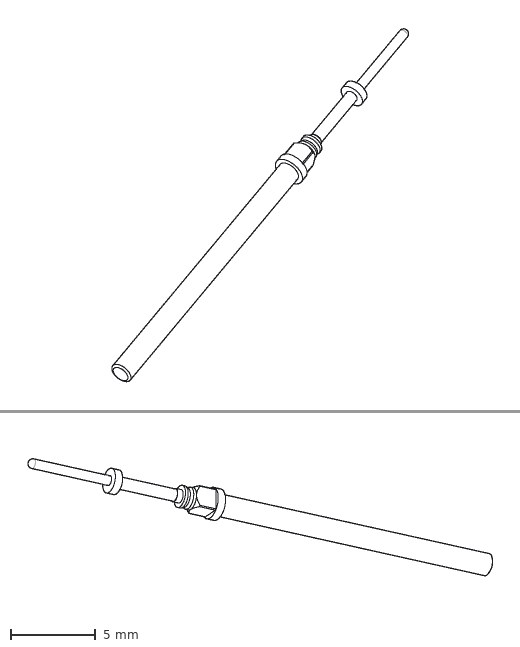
import cadquery as cq

LENGTH = 31.4
TIP_Y = LENGTH / 2
TAIL_Y = -LENGTH / 2

BARREL_R = 1.35 / 2
TAIL_FACE_R = 1.05 / 2
TAIL_CHAMFER_LENGTH = 0.1
BARREL_LENGTH = 18.5
FLANGE_R = 1.9 / 2
FLANGE_LENGTH = 0.5

HEAD_LENGTH = 1.32
HEAD_FLAT_WIDTH = 2 * BARREL_R
HEAD_CORNER_R = 1.82 / 2

LAND_LENGTH = 0.2
GROOVE_LENGTH = 0.38
GROOVE_DEPTH = 0.08

COLLAR_R = 0.82 / 2
COLLAR_LENGTH = 0.38
STEM_R = 0.75 / 2
DISC_R = 1.5 / 2
DISC_LENGTH = 0.5
PIN_R = 0.6 / 2
PIN_LENGTH = 5.5

FLANGE_Y = TAIL_Y + BARREL_LENGTH
HEAD_Y = FLANGE_Y + FLANGE_LENGTH
NECK_Y = HEAD_Y + HEAD_LENGTH
GROOVE_Y = NECK_Y + LAND_LENGTH
FRONT_LAND_Y = GROOVE_Y + GROOVE_LENGTH
COLLAR_Y = FRONT_LAND_Y + LAND_LENGTH
STEM_Y = COLLAR_Y + COLLAR_LENGTH
PIN_Y = TIP_Y - PIN_LENGTH
DISC_Y = PIN_Y - DISC_LENGTH


def cylinder(radius, start_y, length):
    """Solid cylinder on the Y axis, from start_y towards +Y."""
    return cq.Workplane("XZ", origin=(0, start_y, 0)).circle(radius).extrude(-length)


def revolve_profile(profile):
    """Turn a closed half profile, drawn in the XY plane, about the Y axis."""
    return profile.close().revolve(360, (0, 0, 0), (0, 1, 0))


def make_barrel():
    chamfer_y = TAIL_Y + TAIL_CHAMFER_LENGTH
    profile = (
        cq.Workplane("XY")
        .moveTo(0, TAIL_Y)
        .lineTo(TAIL_FACE_R, TAIL_Y)
        .lineTo(BARREL_R, chamfer_y)
        .lineTo(BARREL_R, FLANGE_Y)
        .lineTo(0, FLANGE_Y)
    )
    return revolve_profile(profile)


def make_head():
    square = (
        cq.Workplane("XZ", origin=(0, HEAD_Y, 0))
        .rect(HEAD_FLAT_WIDTH, HEAD_FLAT_WIDTH)
        .extrude(-HEAD_LENGTH)
    )
    chamfer = HEAD_CORNER_R - BARREL_R
    turned_blank = cylinder(HEAD_CORNER_R, HEAD_Y, HEAD_LENGTH).faces(">Y").chamfer(chamfer)
    return square.intersect(turned_blank)


def make_neck():
    profile = (
        cq.Workplane("XY")
        .moveTo(0, NECK_Y)
        .lineTo(BARREL_R, NECK_Y)
        .lineTo(BARREL_R, GROOVE_Y)
        .lineTo(BARREL_R - GROOVE_DEPTH, GROOVE_Y + GROOVE_LENGTH / 2)
        .lineTo(BARREL_R, FRONT_LAND_Y)
        .lineTo(BARREL_R, COLLAR_Y)
        .lineTo(0, COLLAR_Y)
    )
    return revolve_profile(profile)


def make_pin():
    shoulder_y = TIP_Y - PIN_R
    profile = (
        cq.Workplane("XY")
        .moveTo(0, PIN_Y)
        .lineTo(PIN_R, PIN_Y)
        .lineTo(PIN_R, shoulder_y)
        .tangentArcPoint((0, TIP_Y), relative=False)
    )
    return revolve_profile(profile)


result = (
    make_barrel()
    .union(cylinder(FLANGE_R, FLANGE_Y, FLANGE_LENGTH))
    .union(make_head())
    .union(make_neck())
    .union(cylinder(COLLAR_R, COLLAR_Y, COLLAR_LENGTH))
    .union(cylinder(STEM_R, STEM_Y, DISC_Y - STEM_Y))
    .union(cylinder(DISC_R, DISC_Y, DISC_LENGTH))
    .union(make_pin())
)